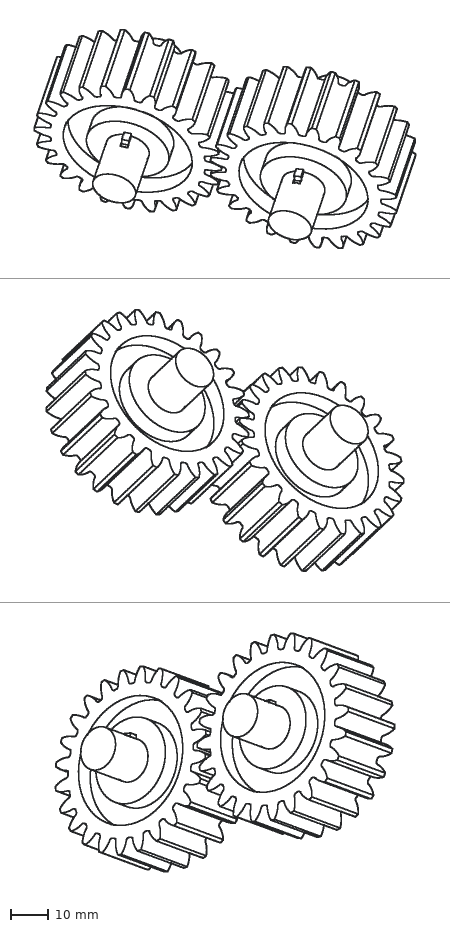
import cadquery as cq
import math

teeth = 24
pitch_angle = 360 / teeth
tip_radius = 26.1
root_radius = 21.6
flank_start_radius = 22.6
flank_middle_radius = 24.4
tip_half_width = 0.6
middle_half_width = 1.4
base_half_width = 1.8
root_fillet = 0.8

face_width = 20.0
recess_depth = 5.0
recess_diameter = 36.0

shaft_diameter = 12.0
shaft_length = 48.0

key_width = 2.0
key_length = 25.0
key_top = 7.0
keyway_floor = 5.0
keyway_length = 28.1
keyway_depth = shaft_diameter / 2 - keyway_floor

driver_hub_diameter = 23.0
driven_hub_diameter = 24.0
center_distance = 49.0
driven_rise = 0.15
driven_turn = 8.5


def tooth_point(radius, half_width, angle):
    """Point on a circle, at a sideways offset from the middle line of the tooth at an angle."""
    turn = math.radians(angle) + math.asin(half_width / radius)
    return radius * math.cos(turn), radius * math.sin(turn)


def toothed_blank():
    """Gear rim with all teeth, as a solid disc."""
    outline = cq.Workplane("XZ").moveTo(*tooth_point(root_radius, -base_half_width, 0))
    for tooth in range(teeth):
        angle = tooth * pitch_angle
        outline = (
            outline.lineTo(*tooth_point(flank_start_radius, -base_half_width, angle))
            .threePointArc(
                tooth_point(flank_middle_radius, -middle_half_width, angle),
                tooth_point(tip_radius, -tip_half_width, angle),
            )
            .threePointArc(
                tooth_point(tip_radius, 0, angle),
                tooth_point(tip_radius, tip_half_width, angle),
            )
            .threePointArc(
                tooth_point(flank_middle_radius, middle_half_width, angle),
                tooth_point(flank_start_radius, base_half_width, angle),
            )
            .lineTo(*tooth_point(root_radius, base_half_width, angle))
            .threePointArc(
                tooth_point(root_radius, 0, angle + pitch_angle / 2),
                tooth_point(root_radius, -base_half_width, angle + pitch_angle),
            )
        )
    blank = outline.close().extrude(face_width / 2, both=True)

    fillet_limit = (root_radius + flank_start_radius) / 2

    def at_root(edge):
        middle = edge.Center()
        return math.hypot(middle.x, middle.z) < fillet_limit

    return blank.edges("|Y").filter(at_root).fillet(root_fillet)


def face_recess(hub_diameter, side):
    """Ring-shaped cutter that leaves the hub standing on one face; side is -1 or 1."""
    return (
        cq.Workplane("XZ", origin=(0, side * face_width / 2, 0))
        .circle(recess_diameter / 2)
        .circle(hub_diameter / 2)
        .extrude(side * recess_depth)
    )


def shaft():
    """Plain round shaft along Y."""
    return cq.Workplane("XZ").circle(shaft_diameter / 2).extrude(shaft_length / 2, both=True)


def keyway():
    """Keyway cutter whose floor curves up to the shaft surface at both ends."""
    height = 2 * keyway_depth
    return (
        cq.Workplane("XY", origin=(0, 0, keyway_floor + height / 2))
        .box(key_width, keyway_length, height)
        .edges("|X and <Z")
        .fillet(keyway_depth)
    )


def key():
    """Rectangular key standing on the keyway floor."""
    key_height = key_top - keyway_floor
    return cq.Workplane("XY", origin=(0, 0, keyway_floor + key_height / 2)).box(
        key_width, key_length, key_height
    )


def gear_shaft(hub_diameter):
    """One-piece gear, shaft and key around the Y axis."""
    gear = toothed_blank()
    for side in (-1, 1):
        gear = gear.cut(face_recess(hub_diameter, side))
    keyed_shaft = shaft().cut(keyway())
    return keyed_shaft.union(gear).union(key()).solids()


driver = gear_shaft(driver_hub_diameter)

driven = (
    gear_shaft(driven_hub_diameter)
    .rotate((0, 0, 0), (0, -1, 0), driven_turn)
    .translate((center_distance, 0, driven_rise))
)

result = cq.Compound.makeCompound([driver.val(), driven.val()])